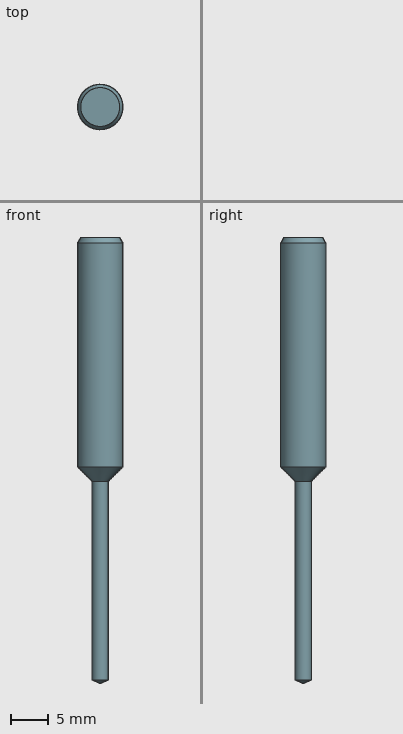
import cadquery as cq
import math

TOTAL_LENGTH = 59.0
SHANK_DIAMETER = 6.0
DRILL_DIAMETER = 2.2

SHOULDER_HEIGHT = 28.7
SHOULDER_HALF_ANGLE = 45.0
CHAMFER_WIDTH = 0.44
CHAMFER_HEIGHT = 0.75

POINT_ANGLE = 130.0

shank_radius = SHANK_DIAMETER / 2
drill_radius = DRILL_DIAMETER / 2
shoulder_length = (shank_radius - drill_radius) / math.tan(math.radians(SHOULDER_HALF_ANGLE))
joint_height = SHOULDER_HEIGHT - shoulder_length
point_length = drill_radius / math.tan(math.radians(POINT_ANGLE / 2))


def revolve_about_z(profile):
    """Turn a closed radius-height profile around the Z axis."""
    return cq.Workplane("XZ").polyline(profile).close().revolve(360, (0, 0), (0, 1))


def make_shank():
    """Cylindrical shank with a chamfered top and a conical shoulder."""
    return revolve_about_z([
        (0, joint_height),
        (drill_radius, joint_height),
        (shank_radius, SHOULDER_HEIGHT),
        (shank_radius, TOTAL_LENGTH - CHAMFER_HEIGHT),
        (shank_radius - CHAMFER_WIDTH, TOTAL_LENGTH),
        (0, TOTAL_LENGTH),
    ])


def make_drill():
    """Slender rod with a conical point, butted against the shoulder."""
    return revolve_about_z([
        (0, 0),
        (drill_radius, point_length),
        (drill_radius, joint_height),
        (0, joint_height),
    ])


shank = make_shank()
drill = make_drill()

result = cq.Compound.makeCompound([shank.val(), drill.val()])